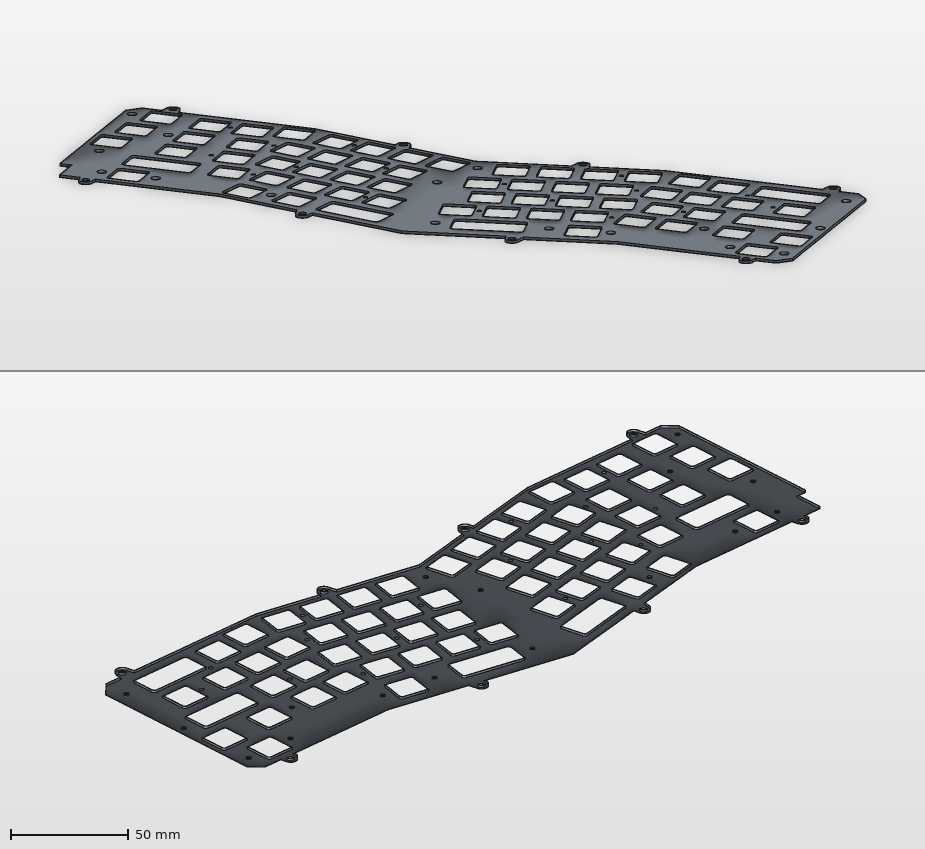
import cadquery as cq
import math

LENGTH = 338.8
THICKNESS = 1.2
RIGHT = LENGTH / 2
LEFT = -RIGHT
TOP = 55.5
BOTTOM = -42.7
WING_ANGLE = 12.0
TOP_BENDS = (-85.0, 75.2)
BOTTOM_BENDS = (-90.8, 91.5)
CORNER_CHAMFER = 5.5
NOTCH_WIDTH = 5.5
NOTCH_Y = -28.0

FIVE_ROW_SPAN = 76.2
PITCH = FIVE_ROW_SPAN / 4
KEY_SIZE = 14.5
KEY_RADIUS = 1.5
WIDE_LENGTH = 32.0
WIDE_HEIGHT = 14.0
WIDE_RADIUS = 1.7

STRAIGHT_TOP_Y = 44.0
STRAIGHT_ROWS = [
    [-128.5, -109.0, 108.8],
    [-128.5, -104.0, 103.5, 122.5, 146.5],
    [-129.5, -103.0, 93.2, 112.5],
    [-98.0, 88.0, 107.0, 133.0, 159.5],
    [-136.5, 151.0],
]
RAISED_KEYS = [(-90.8, 46.5), (90.0, 46.5), (85.0, 26.0)]
SIDE_COLUMN_TOP = (-151.8, 46.5)
SIDE_COLUMN_COUNT = 3
SIDE_COLUMN_SHIFT = 4.0
WIDE_KEYS = [(137.5, 43.7), (143.3, 5.8), (-128.7, -13.2)]

KEYS_PER_TILTED_ROW = 4
LEFT_TOP_ACROSS = 26.8
LEFT_ROW_STARTS = [-77.5, -87.0, -82.3, -73.0]
LEFT_THUMB_KEYS = [(-73.2, -51.0), (-49.0, -49.5)]
LEFT_SPACE_BAR = (-18.3, -49.5)
RIGHT_TOP_ACROSS = 28.8
RIGHT_ROW_STARTS = [20.3, 11.0, 15.5, 6.0]
RIGHT_THUMB_KEYS = [(63.7, -48.8)]
RIGHT_SPACE_BAR = (22.7, -47.5)

PIN_DIAMETER = 1.85
LEFT_PIN_STEPS = [[0.5], [-0.5, 2.5], [0.5], [-0.5, 2.5]]
RIGHT_PIN_STEPS = [[2.5], [0.5, 3.5], [1.5], [0.5, 3.5]]
STRAIGHT_PINS = [(-119.3, 44.0), (-113.0, 5.8), (120.5, 36.3), (136.5, 25.0), (103.0, 5.8)]

SCREW_DIAMETER = 2.2
SCREW_HEAD_DIAMETER = 4.0
SCREW_HEAD_ANGLE = 90.0
SCREWS = [
    (-165.0, 46.5), (162.5, 44.5), (-0.7, 30.0), (-140.3, 25.0), (-9.8, 5.8), (165.7, 5.8),
    (-160.0, -5.8), (119.5, -13.0), (-148.7, -32.2), (-124.0, -32.2), (84.5, -32.2), (139.0, -32.2),
    (163.5, -32.2), (-69.8, -36.0), (57.5, -36.3), (9.5, -46.5),
]

TAB_RADIUS = 3.0
TAB_HOLE_DIAMETER = 3.5
TAB_ROOT_WIDTH = 8.0
TAB_NECK_LENGTH = 4.5
TOP_TABS = [(-151.0, 59.0), (-41.7, 48.8), (39.5, 50.8), (151.0, 59.0)]
BOTTOM_TABS = [(-151.0, -45.0), (-48.0, -55.0), (47.8, -55.0), (151.0, -45.0)]


def middle_point(edge_y, bends):
    """Where the two tilted stretches of an edge meet: both fall away from the bends."""
    half_span = (bends[1] - bends[0]) / 2
    fall = half_span * math.tan(math.radians(WING_ANGLE))
    return (sum(bends) / 2, edge_y - fall)


def plate_blank():
    notch_x = LEFT + NOTCH_WIDTH
    outline = [
        (LEFT, NOTCH_Y),
        (LEFT, TOP - CORNER_CHAMFER),
        (LEFT + CORNER_CHAMFER, TOP),
        (TOP_BENDS[0], TOP),
        middle_point(TOP, TOP_BENDS),
        (TOP_BENDS[1], TOP),
        (RIGHT - CORNER_CHAMFER, TOP),
        (RIGHT, TOP - CORNER_CHAMFER),
        (RIGHT, BOTTOM + CORNER_CHAMFER),
        (RIGHT - CORNER_CHAMFER, BOTTOM),
        (BOTTOM_BENDS[1], BOTTOM),
        middle_point(BOTTOM, BOTTOM_BENDS),
        (BOTTOM_BENDS[0], BOTTOM),
        (notch_x, BOTTOM),
        (notch_x, NOTCH_Y),
    ]
    return cq.Workplane("XY").polyline(outline).close().extrude(THICKNESS)


def round_holes(centers, diameter):
    return cq.Workplane("XY").pushPoints(centers).circle(diameter / 2).extrude(THICKNESS)


def tab(center, outward):
    """An eye on a neck that widens towards the plate; outward is 1 for up and -1 for down."""
    x, y = center
    root_y = y - outward * TAB_NECK_LENGTH
    neck = [
        (x - TAB_RADIUS, y),
        (x + TAB_RADIUS, y),
        (x + TAB_ROOT_WIDTH / 2, root_y),
        (x - TAB_ROOT_WIDTH / 2, root_y),
    ]
    eye = round_holes([center], 2 * TAB_RADIUS)
    return eye.union(cq.Workplane("XY").polyline(neck).close().extrude(THICKNESS))


def cutouts(centers, length, height, radius, angle=0.0):
    """Rounded rectangles, turned as a group about the origin."""
    blocks = cq.Workplane("XY").pushPoints(centers).rect(length, height).extrude(THICKNESS)
    return blocks.edges("|Z").fillet(radius).rotate((0, 0, 0), (0, 0, 1), angle)


def straight_centers():
    rows = [(x, STRAIGHT_TOP_Y - row * PITCH) for row, xs in enumerate(STRAIGHT_ROWS) for x in xs]
    top_x, top_y = SIDE_COLUMN_TOP
    column = [
        (top_x - row * SIDE_COLUMN_SHIFT, top_y - row * PITCH) for row in range(SIDE_COLUMN_COUNT)
    ]
    return rows + RAISED_KEYS + column


def tilted_centers(row_starts, top_across, steps_by_row):
    return [
        (start + step * PITCH, top_across - row * PITCH)
        for row, (start, steps) in enumerate(zip(row_starts, steps_by_row))
        for step in steps
    ]


def cut_wing(plate, angle, row_starts, top_across, pin_steps, thumb_keys, space_bar):
    key_steps = [range(KEYS_PER_TILTED_ROW)] * len(row_starts)
    keys = tilted_centers(row_starts, top_across, key_steps) + thumb_keys
    pins = round_holes(tilted_centers(row_starts, top_across, pin_steps), PIN_DIAMETER)
    plate = plate.cut(cutouts(keys, KEY_SIZE, KEY_SIZE, KEY_RADIUS, angle))
    plate = plate.cut(cutouts([space_bar], WIDE_LENGTH, WIDE_HEIGHT, WIDE_RADIUS, angle))
    return plate.cut(pins.rotate((0, 0, 0), (0, 0, 1), angle))


result = plate_blank()
for eye_center in TOP_TABS:
    result = result.union(tab(eye_center, 1))
for eye_center in BOTTOM_TABS:
    result = result.union(tab(eye_center, -1))
result = result.cut(round_holes(TOP_TABS + BOTTOM_TABS, TAB_HOLE_DIAMETER))

result = result.cut(cutouts(straight_centers(), KEY_SIZE, KEY_SIZE, KEY_RADIUS))
result = result.cut(cutouts(WIDE_KEYS, WIDE_LENGTH, WIDE_HEIGHT, WIDE_RADIUS))
result = result.cut(round_holes(STRAIGHT_PINS, PIN_DIAMETER))
result = cut_wing(
    result,
    -WING_ANGLE,
    LEFT_ROW_STARTS,
    LEFT_TOP_ACROSS,
    LEFT_PIN_STEPS,
    LEFT_THUMB_KEYS,
    LEFT_SPACE_BAR,
)
result = cut_wing(
    result,
    WING_ANGLE,
    RIGHT_ROW_STARTS,
    RIGHT_TOP_ACROSS,
    RIGHT_PIN_STEPS,
    RIGHT_THUMB_KEYS,
    RIGHT_SPACE_BAR,
)

result = (
    result.faces(">Z")
    .workplane(origin=(0, 0, THICKNESS))
    .pushPoints(SCREWS)
    .cskHole(SCREW_DIAMETER, SCREW_HEAD_DIAMETER, SCREW_HEAD_ANGLE)
)